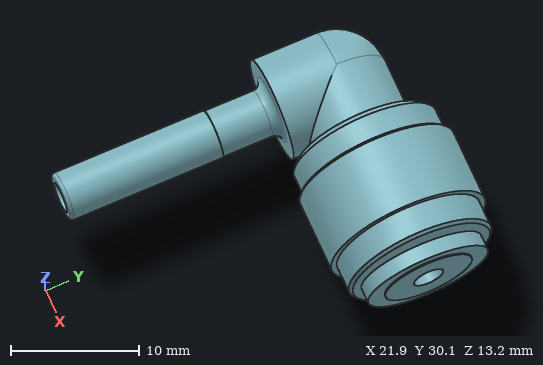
import cadquery as cq
import math


elbow_diameter = 8.4
elbow_stem_face = 5.5
bore_diameter = 2.5

stem_diameter = 4.0
stem_neck_diameter = 3.9
stem_step = 10.5
stem_end = 23.5
stem_root_fillet = 0.8
stem_end_fillet = 0.3

body_diameter = 12.2
body_start = 5.0
body_end = 16.3
body_start_chamfer = 0.5
body_end_chamfer = 0.25

sleeve_diameter = 13.2
sleeve_start = 7.55
sleeve_end = 13.8
sleeve_chamfer = 0.2

collar_width = 10.25
collar_height = 8.0
collar_end = 17.6

land_width = 7.4
land_height = 6.3
land_end = 17.7


def rod_along_x(diameter, start, end):
    """Cylinder on the connector axis between two X positions."""
    return cq.Workplane("YZ", origin=(start, 0, 0)).circle(diameter / 2).extrude(end - start)


def oval_along_x(width, height, start, end):
    """Elliptical cylinder on the connector axis between two X positions."""
    outline = cq.Workplane("YZ", origin=(start, 0, 0)).ellipse(width / 2, height / 2)
    return outline.extrude(end - start)


def rod_along_stem(diameter, start, end):
    """Cylinder on the stem axis between two distances in -Y."""
    return cq.Workplane("XZ", origin=(0, -start, 0)).circle(diameter / 2).extrude(end - start)


def round_elbow(diameter, stem_length, connector_length):
    """Two equal cylinders meeting in a spherical corner."""
    corner = cq.Workplane("XY").sphere(diameter / 2)
    stem_leg = rod_along_stem(diameter, 0, stem_length)
    connector_leg = rod_along_x(diameter, 0, connector_length)
    return stem_leg.union(connector_leg).union(corner)


def make_stem():
    """Stem with a flared root, a small step and a rounded end."""
    neck_radius = stem_neck_diameter / 2
    tube_radius = stem_diameter / 2
    root_end = elbow_stem_face + stem_root_fillet
    diagonal = math.sin(math.pi / 4)
    flare_middle = (
        neck_radius + stem_root_fillet * (1 - diagonal),
        -root_end + stem_root_fillet * diagonal,
    )
    profile = (
        cq.Workplane("XY")
        .moveTo(0, 0)
        .lineTo(neck_radius, 0)
        .lineTo(neck_radius, -elbow_stem_face)
        .lineTo(neck_radius + stem_root_fillet, -elbow_stem_face)
        .threePointArc(flare_middle, (neck_radius, -root_end))
        .lineTo(neck_radius, -stem_step)
        .lineTo(tube_radius, -stem_step)
        .lineTo(tube_radius, -stem_end)
        .lineTo(0, -stem_end)
        .close()
    )
    stem = profile.revolve(360, (0, 0, 0), (0, 1, 0))
    return stem.faces("<Y").edges().fillet(stem_end_fillet)


def make_connector():
    """Chamfered body with its sleeve, oval release collar and end land."""
    body = rod_along_x(body_diameter, body_start, body_end)
    body = body.faces("<X").edges().chamfer(body_start_chamfer)
    body = body.faces(">X").edges().chamfer(body_end_chamfer)
    sleeve = rod_along_x(sleeve_diameter, sleeve_start, sleeve_end)
    sleeve = sleeve.faces("<X").edges().chamfer(sleeve_chamfer)
    collar = oval_along_x(collar_width, collar_height, body_end, collar_end)
    land = oval_along_x(land_width, land_height, collar_end, land_end)
    return body.union(sleeve).union(collar).union(land)


elbow = round_elbow(elbow_diameter, elbow_stem_face, body_start)
bore = round_elbow(bore_diameter, stem_end, land_end)

result = elbow.union(make_stem()).union(make_connector()).cut(bore)